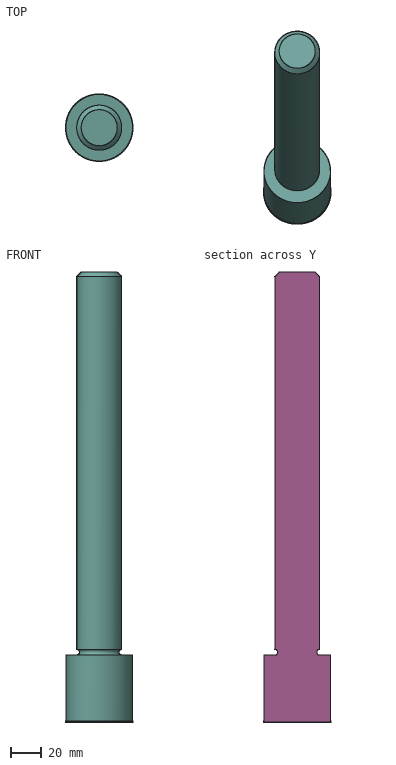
import cadquery as cq

total_length = 300.0
rim_diameter = 45.0
head_length = 45.0
rim_step = 0.3
rim_height = 1.0
shank_diameter = 30.0
tip_chamfer = 3.0
groove_radius = 1.8

bottom = -total_length / 2
top = total_length / 2
head_top = bottom + head_length
rim_top = bottom + rim_height
rim_radius = rim_diameter / 2
head_radius = rim_radius - rim_step
shank_radius = shank_diameter / 2
groove_middle = head_top + groove_radius
groove_top = head_top + 2 * groove_radius

profile = (
    cq.Workplane("XZ")
    .moveTo(0, bottom)
    .lineTo(rim_radius, bottom)
    .lineTo(rim_radius, rim_top)
    .lineTo(head_radius, rim_top)
    .lineTo(head_radius, head_top)
    .lineTo(shank_radius, head_top)
    .threePointArc((shank_radius - groove_radius, groove_middle), (shank_radius, groove_top))
    .lineTo(shank_radius, top - tip_chamfer)
    .lineTo(shank_radius - tip_chamfer, top)
    .lineTo(0, top)
    .close()
)

result = profile.revolve(360, (0, 0, 0), (0, 1, 0))